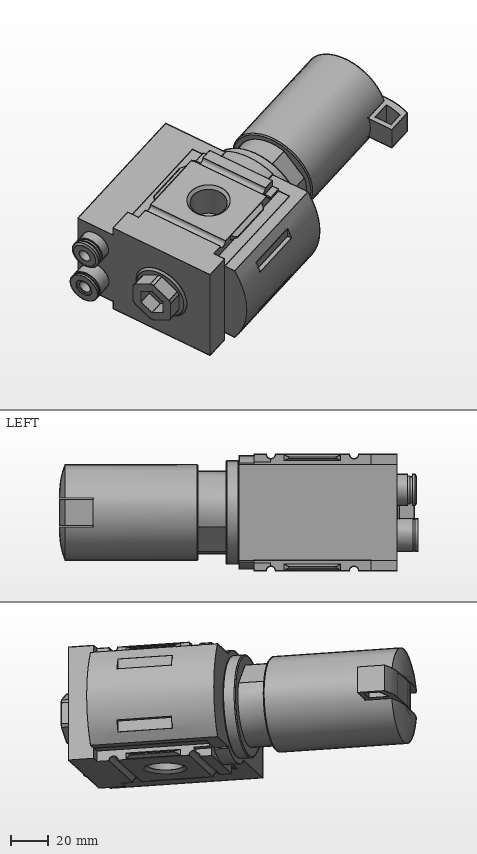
import cadquery as cq
import math


HOUSING_HALF = 31.0
FRONT_Y = -45.0
PLATE_FRONT_Y = 31.0
PLATE_THICKNESS = 8.0
BACK_Y = PLATE_FRONT_Y + PLATE_THICKNESS

SIDE_HALF_HEIGHT = 25.5
SIDE_BLOCK_WIDTH = 22.5
SIDE_BLOCK_LEFT_X = -HOUSING_HALF - SIDE_BLOCK_WIDTH
COLLAR_DIAMETER = 60.4
COLLAR_WIDTH = 30.0
COVER_FRONT_Y = -31.0
COVER_EDGE_X = 37.4
COVER_CROWN_X = 45.1
WINDOW_LENGTH = 30.0
COVER_SLOT_INNER_Z = 14.0
COVER_SLOT_OUTER_Z = 20.0
COVER_SLOT_FLOOR_X = 40.4

LEDGE_HALF_HEIGHT = 25.3
PAD_HALF_WIDTH = 24.0
NOTCH_WIDTH = 4.0
NOTCH_FRONT_Y = 22.3
NOTCH_FLOOR_Z = 26.8
GROOVE_RADIUS = 2.4
GROOVE_Y = 22.1
RIB_REACH = 2.8
RIB_Z = 29.1
RIB_ROOT_LENGTH = 30.0
RIB_ROOT_HEIGHT = 3.2
RIB_TIP_LENGTH = 24.8
RIB_TIP_HEIGHT = 0.6

PORT_DIAMETER = 19.6
PORT_MOUTH_DIAMETER = 23.0
PORT_DEPTH = 20.0

PLUG_FLANGE_DIAMETER = 32.5
PLUG_FLANGE_THICKNESS = 1.3
PLUG_FLANGE_CHAMFER = 1.2
HEX_ACROSS_FLATS = 24.0
HEX_TRIM_DIAMETER = 26.6
PLUG_LENGTH = 9.2
SOCKET_ACROSS_FLATS = 14.0
SOCKET_DEPTH = 8.0

FITTING_X = SIDE_BLOCK_LEFT_X + SIDE_BLOCK_WIDTH / 2
FITTING_Z = 12.0
FITTING_BORE = 7.0
FITTING_BORE_DEPTH = 12.0
UPPER_FITTING_DIAMETER = 16.7
UPPER_SHANK_END = 5.6
UPPER_SHOULDER_DIAMETER = 15.0
UPPER_SHOULDER_END = 6.9
UPPER_NECK_DIAMETER = 14.0
UPPER_NECK_END = 8.1
UPPER_FITTING_LENGTH = 10.3
UPPER_FACE_DIAMETER = 14.0
UPPER_BEVEL_START = 9.6
LOWER_FITTING_DIAMETER = 17.5
LOWER_FITTING_LENGTH = 11.1
LOWER_GROOVE_START = 8.3
LOWER_GROOVE_END = 9.5
LOWER_GROOVE_DIAMETER = 16.7
LOWER_RECESS_DIAMETER = 10.0
LOWER_RECESS_DEPTH = 1.0

FLANGE_DIAMETER = 55.0
FLANGE_END_Y = BACK_Y + 7.0
FLANGE_CHAMFER = 0.6
NECK_DIAMETER = 44.0
NECK_ACROSS_FLATS = 40.0
NECK_FLAT_ANGLE = 45.0
KNOB_DIAMETER = 51.0
KNOB_RADIUS = KNOB_DIAMETER / 2
KNOB_START_Y = 60.7
KNOB_CHAMFER = 0.7
KNOB_END_Y = 134.4
CAP_FLAT_RADIUS = 10.3
CAP_CURVE_RADIUS = 40.0
CAP_MID_RADIUS = (CAP_FLAT_RADIUS + KNOB_RADIUS) / 2

SLOT_WIDTH = 15.2
SLOT_FLOOR_Y = 116.5
SLIDE_WIDTH = 14.0
SLIDE_TRAVEL = 13.7
EYE_LEFT_X = 26.7
EYE_RIGHT_X = 36.8
EYE_FLOOR_Y = 119.4
EYE_TOP_WALL = 4.2


def box(x, y, z):
    """Box between the (low, high) limits given for each axis."""
    lows, highs = zip(x, y, z)
    sizes = [high - low for low, high in zip(lows, highs)]
    return cq.Workplane("XY").box(*sizes, centered=False).translate(lows)


def facing_front(x, y, z):
    """Workplane at a point, drawn on with X and Z and extruded toward -Y."""
    return cq.Workplane("XZ", origin=(x, y, z))


def rod(diameter, start_y, end_y, x=0.0, z=0.0):
    """Cylinder along Y."""
    return facing_front(x, end_y, z).circle(diameter / 2).extrude(end_y - start_y)


def hexagon(plane, across_flats):
    """Hexagon outline with two corners on the vertical centreline."""
    return plane.transformed(rotate=(0, 0, 90)).polygon(6, across_flats / math.cos(math.pi / 6))


def top_and_bottom(shape):
    """Join a shape with its mirror image below z = 0."""
    return shape.union(shape.mirror("XY"))


def on_both_sides(shape):
    """Join a shape with its mirror image across x = 0."""
    return shape.union(shape.mirror("YZ"))



def ledge_cut():
    """Lowered strip along one long edge of the top face."""
    return box(
        (PAD_HALF_WIDTH, HOUSING_HALF),
        (COVER_FRONT_Y, PLATE_FRONT_Y),
        (LEDGE_HALF_HEIGHT, HOUSING_HALF),
    )


def notch_cut():
    """Small step at a rear corner of the raised pad."""
    return box(
        (PAD_HALF_WIDTH - NOTCH_WIDTH, PAD_HALF_WIDTH),
        (NOTCH_FRONT_Y, PLATE_FRONT_Y),
        (NOTCH_FLOOR_Z, HOUSING_HALF),
    )


def pad_grooves():
    """Two round-bottomed grooves across the raised pad."""
    return (
        cq.Workplane("YZ", origin=(-PAD_HALF_WIDTH, 0, HOUSING_HALF))
        .pushPoints([(-GROOVE_Y, 0), (GROOVE_Y, 0)])
        .circle(GROOVE_RADIUS)
        .extrude(2 * PAD_HALF_WIDTH)
    )


def rib():
    """Tapered rib on the side of the raised pad."""
    return (
        cq.Workplane("YZ", origin=(PAD_HALF_WIDTH, 0, RIB_Z))
        .rect(RIB_ROOT_LENGTH, RIB_ROOT_HEIGHT)
        .workplane(offset=RIB_REACH)
        .rect(RIB_TIP_LENGTH, RIB_TIP_HEIGHT)
        .loft()
    )


def port_cut():
    """Blind port with a chamfered mouth, opening upward."""
    bore_radius = PORT_DIAMETER / 2
    mouth_radius = PORT_MOUTH_DIAMETER / 2
    chamfer = mouth_radius - bore_radius
    return (
        cq.Workplane("XZ")
        .moveTo(0, HOUSING_HALF)
        .lineTo(mouth_radius, HOUSING_HALF)
        .lineTo(bore_radius, HOUSING_HALF - chamfer)
        .lineTo(bore_radius, HOUSING_HALF - PORT_DEPTH)
        .lineTo(0, HOUSING_HALF - PORT_DEPTH)
        .close()
        .revolve(360, (0, 0, 0), (0, 1, 0))
    )


def housing_block():
    span = (-HOUSING_HALF, HOUSING_HALF)
    block = box(span, (FRONT_Y, PLATE_FRONT_Y), span)
    for cut in (ledge_cut(), notch_cut()):
        block = block.cut(top_and_bottom(on_both_sides(cut)))
    block = block.cut(top_and_bottom(pad_grooves()))
    block = block.cut(top_and_bottom(port_cut()))
    return block.union(top_and_bottom(on_both_sides(rib())))



def side_block():
    return box(
        (SIDE_BLOCK_LEFT_X, -HOUSING_HALF),
        (FRONT_Y, BACK_Y),
        (-SIDE_HALF_HEIGHT, SIDE_HALF_HEIGHT),
    )


def back_plate():
    """Plate behind the housing with a round collar flattened on its two sides."""
    plate = box(
        (-HOUSING_HALF, HOUSING_HALF),
        (PLATE_FRONT_Y, BACK_Y),
        (-SIDE_HALF_HEIGHT, SIDE_HALF_HEIGHT),
    )
    collar = rod(COLLAR_DIAMETER, PLATE_FRONT_Y, BACK_Y).intersect(box(
        (-COLLAR_WIDTH / 2, COLLAR_WIDTH / 2),
        (PLATE_FRONT_Y, BACK_Y),
        (-COLLAR_DIAMETER / 2, COLLAR_DIAMETER / 2),
    ))
    return plate.union(collar)


def gauge_cover():
    """Cover with a crowned outer face and two slots beside the gauge window."""
    cover = (
        facing_front(0, BACK_Y, 0)
        .moveTo(HOUSING_HALF, -SIDE_HALF_HEIGHT)
        .lineTo(COVER_EDGE_X, -SIDE_HALF_HEIGHT)
        .threePointArc((COVER_CROWN_X, 0), (COVER_EDGE_X, SIDE_HALF_HEIGHT))
        .lineTo(HOUSING_HALF, SIDE_HALF_HEIGHT)
        .close()
        .extrude(BACK_Y - COVER_FRONT_Y)
    )
    length_span = (-WINDOW_LENGTH / 2, WINDOW_LENGTH / 2)
    depth_span = (COVER_SLOT_FLOOR_X, COVER_CROWN_X)
    slot = box(depth_span, length_span, (COVER_SLOT_INNER_Z, COVER_SLOT_OUTER_Z))
    return cover.cut(top_and_bottom(slot))


def plug():
    """Flanged hexagon plug with a hexagon socket."""
    flange = rod(PLUG_FLANGE_DIAMETER, FRONT_Y - PLUG_FLANGE_THICKNESS, FRONT_Y)
    flange = flange.faces("<Y").chamfer(PLUG_FLANGE_CHAMFER)
    head = hexagon(facing_front(0, FRONT_Y, 0), HEX_ACROSS_FLATS).extrude(PLUG_LENGTH)
    head = head.intersect(rod(HEX_TRIM_DIAMETER, FRONT_Y - PLUG_LENGTH, FRONT_Y))
    socket_floor = facing_front(0, FRONT_Y - PLUG_LENGTH + SOCKET_DEPTH, 0)
    socket = hexagon(socket_floor, SOCKET_ACROSS_FLATS).extrude(SOCKET_DEPTH)
    return flange.union(head).cut(socket)


def fitting(z, sections):
    """Stepped round fitting; sections lists (diameter, distance of its end from the front face)."""
    start = 0.0
    body = None
    for diameter, end in sections:
        section = rod(diameter, FRONT_Y - end, FRONT_Y - start, FITTING_X, z)
        body = section if body is None else body.union(section)
        start = end
    return body


def upper_fitting():
    body = fitting(FITTING_Z, [
        (UPPER_FITTING_DIAMETER, UPPER_SHANK_END),
        (UPPER_SHOULDER_DIAMETER, UPPER_SHOULDER_END),
        (UPPER_NECK_DIAMETER, UPPER_NECK_END),
        (UPPER_FITTING_DIAMETER, UPPER_BEVEL_START),
    ])
    bevel = (
        facing_front(FITTING_X, FRONT_Y - UPPER_BEVEL_START, FITTING_Z)
        .circle(UPPER_FITTING_DIAMETER / 2)
        .workplane(offset=UPPER_FITTING_LENGTH - UPPER_BEVEL_START)
        .circle(UPPER_FACE_DIAMETER / 2)
        .loft()
    )
    return body.union(bevel)


def lower_fitting():
    body = fitting(-FITTING_Z, [
        (LOWER_FITTING_DIAMETER, LOWER_GROOVE_START),
        (LOWER_GROOVE_DIAMETER, LOWER_GROOVE_END),
        (LOWER_FITTING_DIAMETER, LOWER_FITTING_LENGTH),
    ])
    end_y = FRONT_Y - LOWER_FITTING_LENGTH
    return body.cut(rod(LOWER_RECESS_DIAMETER, end_y, end_y + LOWER_RECESS_DEPTH, FITTING_X, -FITTING_Z))


def fitting_bore(z, length):
    end_y = FRONT_Y - length
    return rod(FITTING_BORE, end_y, end_y + FITTING_BORE_DEPTH, FITTING_X, z)



def flange():
    return rod(FLANGE_DIAMETER, BACK_Y, FLANGE_END_Y).faces("<Y or >Y").chamfer(FLANGE_CHAMFER)


def neck():
    """Round neck with two opposite wrench flats."""
    length = KNOB_START_Y - FLANGE_END_Y
    flats = (
        facing_front(0, KNOB_START_Y, 0)
        .transformed(rotate=(0, 0, NECK_FLAT_ANGLE))
        .rect(NECK_ACROSS_FLATS, NECK_DIAMETER)
        .extrude(length)
    )
    return rod(NECK_DIAMETER, FLANGE_END_Y, KNOB_START_Y).intersect(flats)


def cap_y(radius, inset=0.0):
    """Place along Y of the knob's rounded end at a radius, or of a curve set in below it."""
    centre_y = KNOB_END_Y - CAP_CURVE_RADIUS
    return centre_y + math.sqrt((CAP_CURVE_RADIUS - inset) ** 2 - (radius - CAP_FLAT_RADIUS) ** 2)


def slide_slot():
    """Slot across the rounded end of the knob that holds the locking slide."""
    return box(
        (-KNOB_DIAMETER, KNOB_DIAMETER),
        (SLOT_FLOOR_Y, KNOB_END_Y),
        (-SLOT_WIDTH / 2, SLOT_WIDTH / 2),
    )


def knob():
    """Round knob with a flat-topped rounded end, slotted for the slide."""
    body = (
        cq.Workplane("XY")
        .moveTo(0, KNOB_START_Y)
        .lineTo(KNOB_RADIUS - KNOB_CHAMFER, KNOB_START_Y)
        .lineTo(KNOB_RADIUS, KNOB_START_Y + KNOB_CHAMFER)
        .lineTo(KNOB_RADIUS, cap_y(KNOB_RADIUS))
        .threePointArc((CAP_MID_RADIUS, cap_y(CAP_MID_RADIUS)), (CAP_FLAT_RADIUS, KNOB_END_Y))
        .lineTo(0, KNOB_END_Y)
        .close()
        .revolve(360, (0, 0, 0), (0, 1, 0))
    )
    return body.cut(slide_slot())


def regulator():
    body = housing_block()
    additions = (
        side_block(),
        back_plate(),
        gauge_cover(),
        plug(),
        upper_fitting(),
        lower_fitting(),
        flange(),
        neck(),
        knob(),
    )
    for addition in additions:
        body = body.union(addition)
    body = body.cut(fitting_bore(FITTING_Z, UPPER_FITTING_LENGTH))
    return body.cut(fitting_bore(-FITTING_Z, LOWER_FITTING_LENGTH))



def padlock_eye():
    """Opening in the slide whose top follows the slide's rounded end."""
    mid_x = (EYE_LEFT_X + EYE_RIGHT_X) / 2
    left_y, mid_y, right_y = [
        cap_y(x - SLIDE_TRAVEL, EYE_TOP_WALL) for x in (EYE_LEFT_X, mid_x, EYE_RIGHT_X)
    ]
    return (
        cq.Workplane("XY", origin=(0, 0, -SLIDE_WIDTH / 2))
        .moveTo(EYE_LEFT_X, EYE_FLOOR_Y)
        .lineTo(EYE_RIGHT_X, EYE_FLOOR_Y)
        .lineTo(EYE_RIGHT_X, right_y)
        .threePointArc((mid_x, mid_y), (EYE_LEFT_X, left_y))
        .close()
        .extrude(SLIDE_WIDTH)
    )


def locking_slide():
    """Slide shaped like the knob's end, pulled out along +X so that its padlock eye is free."""
    rim_y = cap_y(KNOB_RADIUS)
    mid_y = cap_y(CAP_MID_RADIUS)
    body = (
        cq.Workplane("XY", origin=(0, 0, -SLIDE_WIDTH / 2))
        .moveTo(-KNOB_RADIUS, SLOT_FLOOR_Y)
        .lineTo(KNOB_RADIUS, SLOT_FLOOR_Y)
        .lineTo(KNOB_RADIUS, rim_y)
        .threePointArc((CAP_MID_RADIUS, mid_y), (CAP_FLAT_RADIUS, KNOB_END_Y))
        .lineTo(-CAP_FLAT_RADIUS, KNOB_END_Y)
        .threePointArc((-CAP_MID_RADIUS, mid_y), (-KNOB_RADIUS, rim_y))
        .close()
        .extrude(SLIDE_WIDTH)
        .translate((SLIDE_TRAVEL, 0, 0))
    )
    return body.cut(padlock_eye())


regulator_body = regulator()
slide_body = locking_slide()
result = cq.Compound.makeCompound([regulator_body.val(), slide_body.val()])